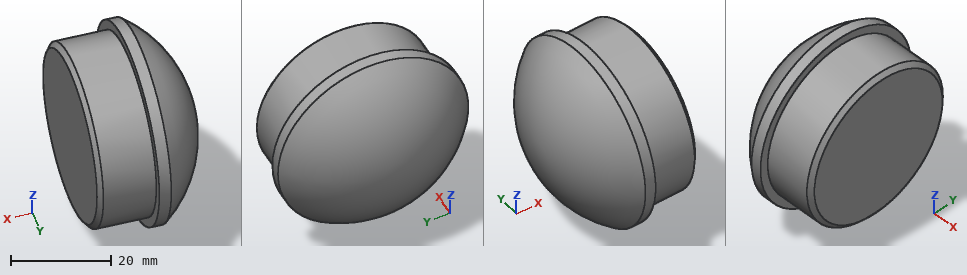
import cadquery as cq
import math

flange_diameter = 42.4
flange_thickness = 2.5
dome_height = 11.0
plug_diameter = 38.35
plug_length = 12.0
chamfer_length = 0.98
chamfer_depth = 1.15

flange_radius = flange_diameter / 2
plug_radius = plug_diameter / 2
dome_base_x = -flange_thickness
dome_tip_x = dome_base_x - dome_height

dome_radius = (flange_radius**2 + dome_height**2) / (2 * dome_height)
half_cap_angle = math.asin(flange_radius / dome_radius) / 2
dome_mid_x = dome_tip_x + dome_radius * (1 - math.cos(half_cap_angle))
dome_mid_y = dome_radius * math.sin(half_cap_angle)

profile = (
    cq.Workplane("XY")
    .moveTo(dome_tip_x, 0)
    .threePointArc((dome_mid_x, dome_mid_y), (dome_base_x, flange_radius))
    .lineTo(0, flange_radius)
    .lineTo(0, plug_radius)
    .lineTo(plug_length - chamfer_length, plug_radius)
    .lineTo(plug_length, plug_radius - chamfer_depth)
    .lineTo(plug_length, 0)
    .close()
)

result = profile.revolve(360, (0, 0, 0), (1, 0, 0))